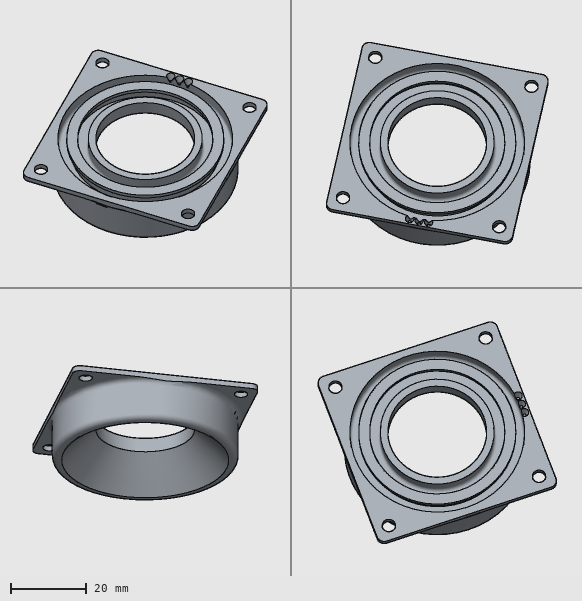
import cadquery as cq

flange_side = 50.0
flange_corner_radius = 2.0
flange_thickness = 1.5
total_height = 13.0
flange_bottom = total_height - flange_thickness

mount_hole_diameter = 3.5
mount_hole_pitch = 42.0

housing_radius = 49.0 / 2
housing_bottom_round = 1.5
under_flange_fillet = 1.5

pocket_radius = 46.0 / 2
pocket_fillet = 1.0
deck_top = 9.0

hub_radius = 30.0 / 2
bore_radius = 26.0 / 2
bore_bottom = deck_top

recess_mouth_radius = bore_radius + bore_bottom

rib_inner_radius = 38.0 / 2
rib_outer_radius = 39.5 / 2
lip_inner_radius = 35.61 / 2
lip_outer_radius = 41.42 / 2
lip_thickness = 1.0
lip_bottom = total_height - lip_thickness

notch_count = 3
notch_pitch = 2.54
notch_centre_y = 23.5
notch_top_radius = 1.1
notch_tip_radius = 0.4
notch_depth = 2.0


def revolve_about_z(profile):
    """Full turn of an XZ profile about the Z axis."""
    return profile.revolve(360, (0, 0, 0), (0, 1, 0))


def tube(outer_radius, inner_radius, bottom, top):
    """Plain ring about the Z axis."""
    base = cq.Workplane("XY").workplane(offset=bottom)
    return base.circle(outer_radius).circle(inner_radius).extrude(top - bottom)


def make_envelope():
    """Square flange on a round housing, with the fillet under the flange trimmed by the flange sides."""
    fillet_top_radius = housing_radius + under_flange_fillet
    profile = (
        cq.Workplane("XZ")
        .moveTo(0, 0)
        .lineTo(housing_radius - housing_bottom_round, 0)
        .radiusArc((housing_radius, housing_bottom_round), -housing_bottom_round)
        .lineTo(housing_radius, flange_bottom - under_flange_fillet)
        .radiusArc((fillet_top_radius, flange_bottom), under_flange_fillet)
        .lineTo(flange_side, flange_bottom)
        .lineTo(flange_side, total_height)
        .lineTo(0, total_height)
        .close()
    )
    square = (
        cq.Workplane("XY")
        .rect(flange_side, flange_side)
        .extrude(total_height)
        .edges("|Z")
        .fillet(flange_corner_radius)
    )
    return revolve_about_z(profile).intersect(square)


def make_pocket():
    """Annular pocket with rounded floor corners."""
    return tube(pocket_radius, hub_radius, deck_top, total_height).faces("<Z").edges().fillet(pocket_fillet)


def make_bore():
    """Straight bore opening into the funnel recess below it."""
    profile = (
        cq.Workplane("XZ")
        .moveTo(0, 0)
        .lineTo(recess_mouth_radius, 0)
        .lineTo(bore_radius, bore_bottom)
        .lineTo(bore_radius, total_height)
        .lineTo(0, total_height)
        .close()
    )
    return revolve_about_z(profile)


def make_ring():
    """T-shaped ring: thin rib on the pocket floor carrying a wider lip."""
    rib = tube(rib_outer_radius, rib_inner_radius, deck_top, lip_bottom)
    lip = tube(lip_outer_radius, lip_inner_radius, lip_bottom, total_height)
    return rib.union(lip)


def make_notch(x):
    """Tapered notch narrowing downwards."""
    cone = cq.Solid.makeCone(notch_tip_radius, notch_top_radius, notch_depth)
    return cq.Workplane(cone).translate((x, notch_centre_y, total_height - notch_depth))


def make_mount_holes():
    """Four through holes at the flange corners."""
    return (
        cq.Workplane("XY")
        .rect(mount_hole_pitch, mount_hole_pitch, forConstruction=True)
        .vertices()
        .circle(mount_hole_diameter / 2)
        .extrude(total_height)
    )


def make_notch_row():
    """Evenly spaced notches centred on the Y axis."""
    first_x = -notch_pitch * (notch_count - 1) / 2
    row = make_notch(first_x)
    for index in range(1, notch_count):
        row = row.union(make_notch(first_x + index * notch_pitch))
    return row


housing = make_envelope().cut(make_pocket()).cut(make_bore())
result = housing.union(make_ring()).cut(make_mount_holes()).cut(make_notch_row())